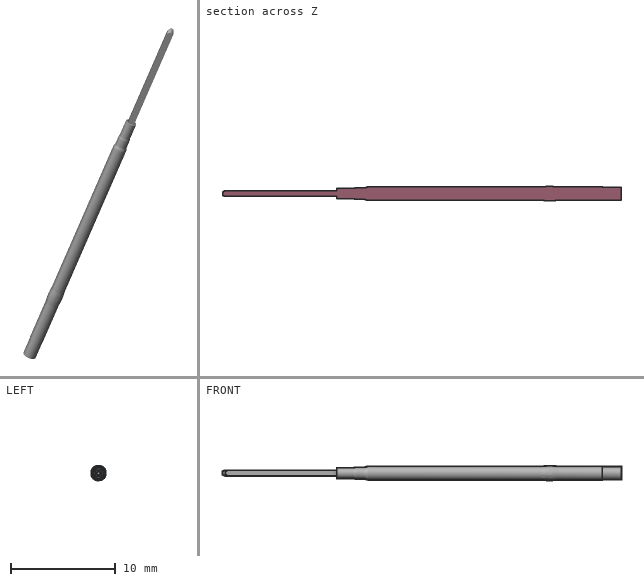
import cadquery as cq

overall_length = 38.07

plunger_start = 10.9
collar_start = 12.51
collar_flare_length = 0.23
barrel_start = 13.5
barrel_flare_length = 0.4
bulge_start = 30.4
bulge_length = 1.6
tail_length = 1.83

needle_side = 0.58
tip_flat_diameter = 0.33
tip_base_diameter = 0.84
tip_length = 0.53

plunger_diameter = 1.05
collar_diameter = 1.14
barrel_diameter = 1.32
bulge_diameter = 1.43
tail_diameter = 1.27


def make_needle():
    """Square bar whose free end is turned to a truncated cone."""
    bar = cq.Workplane("YZ").rect(needle_side, needle_side).extrude(plunger_start)
    envelope_profile = (
        cq.Workplane("XY")
        .lineTo(0, tip_flat_diameter / 2)
        .lineTo(tip_length, tip_base_diameter / 2)
        .lineTo(plunger_start, tip_base_diameter / 2)
        .lineTo(plunger_start, 0)
        .close()
    )
    envelope = envelope_profile.revolve(360, (0, 0, 0), (1, 0, 0))
    return bar.intersect(envelope)


def add_flare(profile, start, length, start_radius, end_radius):
    """Run the outline to a larger radius along two equal arcs that meet in an S.

    The S leaves the smaller cylinder and joins the larger one tangentially.
    """
    rise = end_radius - start_radius
    arc_radius = (length**2 + rise**2) / (4 * rise)
    middle = (start + length / 2, start_radius + rise / 2)
    return (
        profile.lineTo(start, start_radius)
        .radiusArc(middle, -arc_radius)
        .radiusArc((start + length, end_radius), arc_radius)
    )


def make_turned_body():
    """Plunger, collar and barrel with its press-fit bulge and slimmer tail."""
    plunger_radius = plunger_diameter / 2
    collar_radius = collar_diameter / 2
    barrel_radius = barrel_diameter / 2
    tail_radius = tail_diameter / 2
    bulge_end = bulge_start + bulge_length
    bulge_middle = bulge_start + bulge_length / 2
    tail_start = overall_length - tail_length

    profile = cq.Workplane("XY").moveTo(plunger_start, 0).lineTo(plunger_start, plunger_radius)
    profile = add_flare(profile, collar_start, collar_flare_length, plunger_radius, collar_radius)
    profile = add_flare(profile, barrel_start, barrel_flare_length, collar_radius, barrel_radius)
    profile = (
        profile.lineTo(bulge_start, barrel_radius)
        .threePointArc((bulge_middle, bulge_diameter / 2), (bulge_end, barrel_radius))
        .lineTo(tail_start, barrel_radius)
        .lineTo(tail_start, tail_radius)
        .lineTo(overall_length, tail_radius)
        .lineTo(overall_length, 0)
        .close()
    )
    return profile.revolve(360, (0, 0, 0), (1, 0, 0))


result = make_needle().union(make_turned_body())